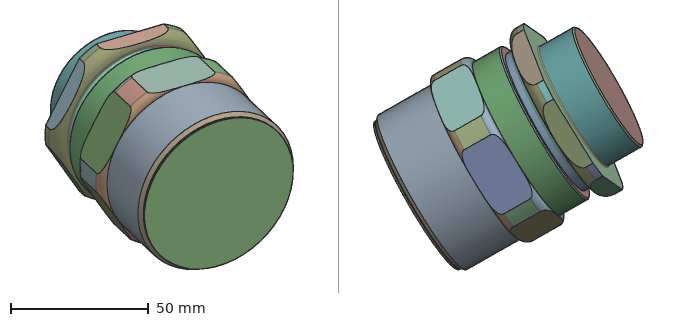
import cadquery as cq
import math


total_length = 81.1
across_flats = 65.0
across_corners = 70.8

thread_diameter = 50.0
thread_chamfer = 0.65
root_fillet = 0.5
flange_start = 15.1
flange_end = 22.95
flange_rounding = 4.95
neck_diameter = 57.4
neck_fillet = 1.05

skirt_start = 26.8
skirt_diameter = 64.0
skirt_chamfer = 0.6
hexagon_start = 38.7
hexagon_end = 55.8
sleeve_diameter = 64.9
hexagon_rounding = (across_corners - sleeve_diameter) / 2
sleeve_end = 80.1
lip_length = 0.3
lip_diameter = 62.05
sleeve_chamfer = (sleeve_diameter - lip_diameter) / 2

disc_diameter = lip_diameter
disc_start = sleeve_end + lip_length

selection_margin = 0.04


def cylinder(start, end, diameter):
    """Round bar on the X axis from x = start to x = end."""
    return cq.Workplane("YZ", origin=(start, 0, 0)).circle(diameter / 2).extrude(end - start)


def hexagon(start, end, rounded_ends):
    """Hexagon with two flats facing Z, its corners turned down and the named ends rounded."""
    corner_to_corner = across_flats / math.cos(math.pi / 6)
    prism = cq.Workplane("YZ", origin=(start, 0, 0)).polygon(6, corner_to_corner).extrude(end - start)
    envelope = cylinder(start, end, across_corners)
    for end_face, rounding in rounded_ends.items():
        envelope = envelope.faces(end_face).edges().fillet(rounding)
    return prism.intersect(envelope)


def root_circle(x, diameter):
    """Selector for the circle of the given diameter around the axis at x."""
    half_width = diameter / 2 + selection_margin
    return cq.selectors.BoxSelector(
        (x - selection_margin, -half_width, -half_width),
        (x + selection_margin, half_width, half_width),
        boundingbox=True,
    )


def make_entry():
    thread = cylinder(0, flange_start, thread_diameter).faces("<X").chamfer(thread_chamfer)
    flange = hexagon(flange_start, flange_end, {">X": flange_rounding})
    neck = cylinder(flange_end, skirt_start, neck_diameter)
    entry = thread.union(flange).union(neck)
    entry = entry.edges(root_circle(flange_start, thread_diameter)).fillet(root_fillet)
    return entry.edges(root_circle(flange_end, neck_diameter)).fillet(neck_fillet)


def make_nut():
    skirt = cylinder(skirt_start, hexagon_start, skirt_diameter).faces("<X").chamfer(skirt_chamfer)
    grip = hexagon(hexagon_start, hexagon_end, {"<X": hexagon_rounding, ">X": hexagon_rounding})
    sleeve = cylinder(hexagon_end, sleeve_end, sleeve_diameter).faces(">X").chamfer(sleeve_chamfer)
    lip = cylinder(sleeve_end, disc_start, lip_diameter)
    return skirt.union(grip).union(sleeve).union(lip)


def make_end_disc():
    return cylinder(disc_start, total_length, disc_diameter)


entry = make_entry()
nut = make_nut()
end_disc = make_end_disc()

result = cq.Compound.makeCompound([entry.val(), nut.val(), end_disc.val()])